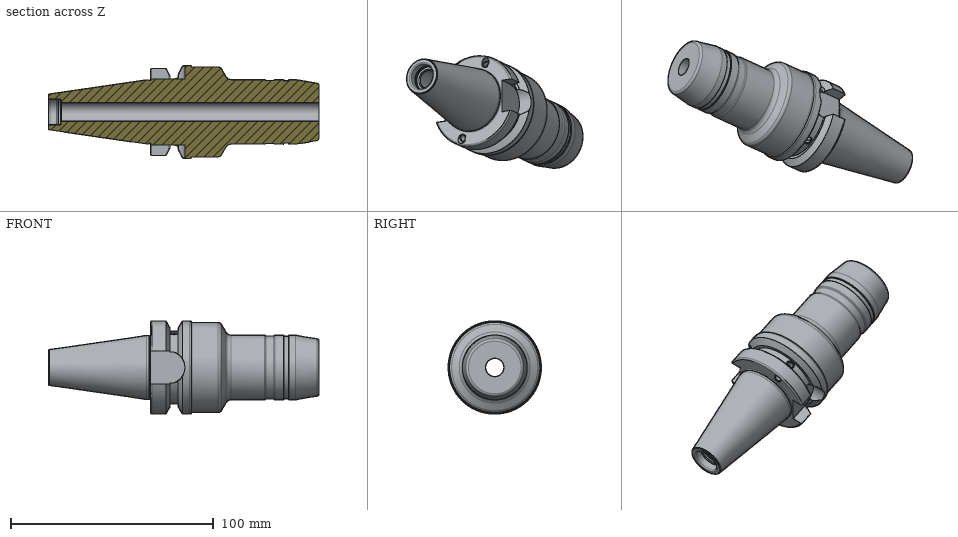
import cadquery as cq
import math


gauge_radius = 31.75 / 2
taper_length = 48.4
taper_ratio = 7 / 24
shank_chamfer_length = 0.45
shank_chamfer_depth = 0.35
gauge_land_end = 1.15
neck_start = 1.55
neck_radius = 31.0 / 2

flange_start = 2.0
flange_end = 22.0
flange_radius = 46.0 / 2
flange_edge_radius = 0.75
groove_center = 13.55
groove_half_width = 2.0
groove_mouth_half_width = 4.05
groove_flank_angle = 30.0
groove_floor_radius = 36.0 / 2
rear_edge_length = 0.8
rear_edge_drop = 0.35
rear_fillet_length = 0.4

body_radius = 44.5 / 2
body_end = 35.2
shoulder_angle = 60.0
shoulder_edge_radius = 2.0
shoulder_root_radius = 3.0
nose_radius = 32.0 / 2
nose_end = 85.0
nose_taper_start = 73.35
nose_taper_angle = 9.5
nose_edge_radius = 1.3
wide_groove_start = 58.1
wide_groove_end = 63.35
wide_groove_radius = 31.2 / 2
wide_groove_flank = 0.8
narrow_groove_start = 67.5
narrow_groove_end = 70.15
narrow_groove_radius = 31.0 / 2
narrow_groove_flank = 0.3

mouth_radius = 14.0 / 2
pilot_radius = 12.5 / 2
pilot_depth = 6.0
relief_radius = 12.6 / 2
relief_start = 4.2
relief_end = 5.0
countersink_radius = 10.11 / 2
countersink_angle = 60.0
through_radius = 8.92 / 2

slot_width = 16.1
slot_floor = 16.3
slot_end = 18.85

coolant_angle = 20.0
coolant_radius = 3.24 / 2
coolant_mouth_radius = 4.0 / 2
face_mouth_depth = 1.4
groove_mouth_depth = 1.0
coolant_tilt = 30.0
coolant_face_offset = 19.8

small_end = -taper_length
axis = ((0, 0, 0), (1, 0, 0))
full_turn = 360
half_turn = full_turn / 2


def arc_run_and_drop(radius, angle):
    """Axial run and radial drop of an arc that starts level and turns by the angle."""
    turn = math.radians(angle)
    return radius * math.sin(turn), radius * (1 - math.cos(turn))


def add_wide_groove(profile):
    """Groove whose flanks are two mirrored arcs, level at both ends."""
    half_run = wide_groove_flank / 2
    half_drop = (nose_radius - wide_groove_radius) / 2
    arc_radius = (half_run**2 + half_drop**2) / (2 * half_drop)
    mid_radius = nose_radius - half_drop
    floor_start = wide_groove_start + wide_groove_flank
    floor_end = wide_groove_end - wide_groove_flank
    return (
        profile.lineTo(wide_groove_start, nose_radius)
        .radiusArc((wide_groove_start + half_run, mid_radius), arc_radius)
        .radiusArc((floor_start, wide_groove_radius), -arc_radius)
        .lineTo(floor_end, wide_groove_radius)
        .radiusArc((floor_end + half_run, mid_radius), -arc_radius)
        .radiusArc((wide_groove_end, nose_radius), arc_radius)
    )


def add_narrow_groove(profile):
    """Flat-bottomed groove with straight flanks."""
    return (
        profile.lineTo(narrow_groove_start, nose_radius)
        .lineTo(narrow_groove_start + narrow_groove_flank, narrow_groove_radius)
        .lineTo(narrow_groove_end - narrow_groove_flank, narrow_groove_radius)
        .lineTo(narrow_groove_end, nose_radius)
    )


def make_body():
    """Solid of revolution with the outer shape and no bore, slots or holes."""
    small_radius = gauge_radius - taper_length * taper_ratio / 2
    chamfer_end = small_end + shank_chamfer_length
    chamfer_radius = small_radius + shank_chamfer_length * taper_ratio / 2
    flank_depth = (groove_mouth_half_width - groove_half_width) / math.tan(math.radians(groove_flank_angle))
    flank_foot = flange_radius - flank_depth
    groove_left = groove_center - groove_half_width
    groove_right = groove_center + groove_half_width

    edge_run, edge_drop = arc_run_and_drop(shoulder_edge_radius, shoulder_angle)
    root_run, root_drop = arc_run_and_drop(shoulder_root_radius, shoulder_angle)
    cone_drop = body_radius - nose_radius - edge_drop - root_drop
    cone_start = body_end + edge_run
    cone_end = cone_start + cone_drop / math.tan(math.radians(shoulder_angle))

    taper_turn = math.radians(nose_taper_angle)
    nose_edge_start = nose_end - nose_edge_radius * (1 - math.sin(taper_turn))
    nose_edge_top = nose_radius - (nose_edge_start - nose_taper_start) * math.tan(taper_turn)
    nose_face_radius = nose_edge_top - nose_edge_radius * math.cos(taper_turn)

    neck_fillet = flange_start - neck_start
    rear_fillet_drop = flange_radius - rear_edge_drop - body_radius

    profile = (
        cq.Workplane("XY")
        .moveTo(small_end, 0)
        .lineTo(small_end, chamfer_radius - shank_chamfer_depth)
        .lineTo(chamfer_end, chamfer_radius)
        .lineTo(0, gauge_radius)
        .lineTo(gauge_land_end, gauge_radius)
        .lineTo(neck_start, neck_radius)
        .radiusArc((flange_start, neck_radius + neck_fillet), -neck_fillet)
        .lineTo(flange_start, flange_radius - flange_edge_radius)
        .radiusArc((flange_start + flange_edge_radius, flange_radius), flange_edge_radius)
        .lineTo(groove_center - groove_mouth_half_width, flange_radius)
        .lineTo(groove_left, flank_foot)
        .lineTo(groove_left, groove_floor_radius)
        .lineTo(groove_right, groove_floor_radius)
        .lineTo(groove_right, flank_foot)
        .lineTo(groove_center + groove_mouth_half_width, flange_radius)
        .lineTo(flange_end - rear_edge_length, flange_radius)
        .tangentArcPoint((rear_edge_length, -rear_edge_drop))
        .radiusArc((flange_end + rear_fillet_length, body_radius), -rear_fillet_drop)
        .lineTo(body_end, body_radius)
        .radiusArc((cone_start, body_radius - edge_drop), shoulder_edge_radius)
        .lineTo(cone_end, nose_radius + root_drop)
        .radiusArc((cone_end + root_run, nose_radius), -shoulder_root_radius)
    )
    profile = add_wide_groove(profile)
    profile = add_narrow_groove(profile)
    return (
        profile.lineTo(nose_taper_start, nose_radius)
        .lineTo(nose_edge_start, nose_edge_top)
        .radiusArc((nose_end, nose_face_radius), nose_edge_radius)
        .lineTo(nose_end, 0)
        .close()
        .revolve(full_turn, *axis)
    )


def make_bore():
    """Stepped bore along the axis, with a rounded mouth and a through hole."""
    pilot_end = small_end + pilot_depth
    countersink_drop = countersink_radius - through_radius
    countersink_end = pilot_end + countersink_drop / math.tan(math.radians(countersink_angle))
    mouth_edge_radius = mouth_radius - pilot_radius
    return (
        cq.Workplane("XY")
        .moveTo(small_end, 0)
        .lineTo(small_end, mouth_radius)
        .radiusArc((small_end + mouth_edge_radius, pilot_radius), -mouth_edge_radius)
        .lineTo(small_end + relief_start, pilot_radius)
        .lineTo(small_end + relief_start, relief_radius)
        .lineTo(small_end + relief_end, relief_radius)
        .lineTo(small_end + relief_end, pilot_radius)
        .lineTo(pilot_end, pilot_radius)
        .lineTo(pilot_end, countersink_radius)
        .lineTo(countersink_end, through_radius)
        .lineTo(nose_end, through_radius)
        .lineTo(nose_end, 0)
        .close()
        .revolve(full_turn, *axis)
    )


def make_drive_slot():
    """Slot on the -Y side, open toward the shank and rounded at its end."""
    half_width = slot_width / 2
    straight_end = slot_end - half_width
    return (
        cq.Workplane("XZ", origin=(0, -slot_floor, 0))
        .moveTo(flange_start, -half_width)
        .lineTo(straight_end, -half_width)
        .threePointArc((slot_end, 0), (straight_end, half_width))
        .lineTo(flange_start, half_width)
        .close()
        .extrude(flange_radius)
    )


def make_coolant_holes():
    """Inclined hole from the flange face and the radial groove hole it meets."""
    tilt = math.radians(coolant_tilt)
    reach = groove_center - flange_start
    meeting_offset = coolant_face_offset - reach * math.tan(tilt)
    direction = cq.Vector(math.cos(tilt), 0, -math.sin(tilt))
    face_point = cq.Vector(flange_start, 0, coolant_face_offset)
    lead = coolant_mouth_radius
    entry = face_point - direction * lead

    inclined_length = reach / math.cos(tilt) + lead

    inclined = cq.Solid.makeCylinder(coolant_radius, inclined_length, entry, direction)
    inclined_mouth = cq.Solid.makeCylinder(coolant_mouth_radius, face_mouth_depth + lead, entry, direction)

    outward = cq.Vector(0, 0, 1)
    meeting_point = cq.Vector(groove_center, 0, meeting_offset)
    mouth_bottom = groove_floor_radius - groove_mouth_depth
    mouth_point = cq.Vector(groove_center, 0, mouth_bottom)
    radial = cq.Solid.makeCylinder(coolant_radius, flange_radius - meeting_offset, meeting_point, outward)
    radial_mouth = cq.Solid.makeCylinder(
        coolant_mouth_radius, flange_radius - mouth_bottom, mouth_point, outward
    )

    holes = cq.Workplane(inclined)
    for hole in (inclined_mouth, radial, radial_mouth):
        holes = holes.union(cq.Workplane(hole))
    return holes.rotate(*axis, coolant_angle)


result = make_body().cut(make_bore())
for turn in (0, half_turn):
    result = result.cut(make_drive_slot().rotate(*axis, turn))
    result = result.cut(make_coolant_holes().rotate(*axis, turn))